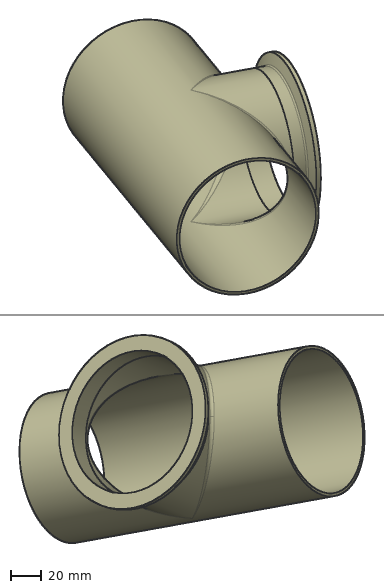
import cadquery as cq
import math

run_length = 209.5
outer_diameter = 101.7
wall = 2.0
outer_radius = outer_diameter / 2
bore_radius = outer_radius - wall

ferrule_face_y = 70.0
ferrule_length = 16.0
branch_end_y = ferrule_face_y - ferrule_length

outer_blend = 2.0
inner_blend = outer_blend + wall

flange_radius = 118.8 / 2
rim_thickness = 3.4
cone_angle = 20.0
neck_fillet = 1.3
cone_depth = (flange_radius - outer_radius) * math.tan(math.radians(cone_angle))


def blended_tee_form(radius, blend):
    """Solid run along X joined to a branch along +Y, with the elliptical seams filleted."""
    run = cq.Workplane("YZ").circle(radius).extrude(run_length / 2, both=True)
    branch = cq.Workplane("XZ").circle(radius).extrude(-branch_end_y)
    return run.union(branch).edges("%ELLIPSE").fillet(blend)


def make_tee():
    """Thin-walled tee, open at both run ends and at the branch end."""
    outside = blended_tee_form(outer_radius, outer_blend)
    inside = blended_tee_form(bore_radius, inner_blend)
    return outside.cut(inside)


def make_ferrule():
    """Flanged ring of revolution about Y that continues the branch tube."""
    rim_back_y = ferrule_face_y - rim_thickness
    cone_end_y = rim_back_y - cone_depth
    ring = (
        cq.Workplane("XY")
        .moveTo(bore_radius, branch_end_y)
        .lineTo(outer_radius, branch_end_y)
        .lineTo(outer_radius, cone_end_y)
        .lineTo(flange_radius, rim_back_y)
        .lineTo(flange_radius, ferrule_face_y)
        .lineTo(bore_radius, ferrule_face_y)
        .close()
        .revolve(360, (0, 0, 0), (0, 1, 0))
    )
    neck_corner = cq.selectors.NearestToPointSelector((0, cone_end_y, 0))
    return ring.edges("%CIRCLE").edges(neck_corner).fillet(neck_fillet)


tee = make_tee()
ferrule = make_ferrule()

result = cq.Compound.makeCompound([tee.solids().val(), ferrule.solids().val()])